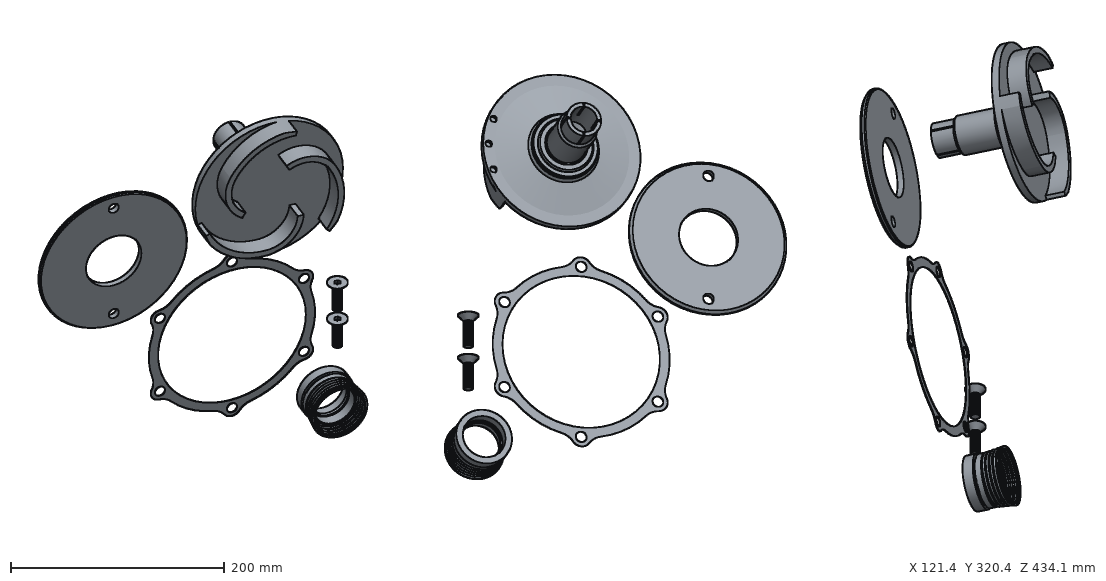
import cadquery as cq
import math


PLATE_Y, PLATE_Z = -119.05, -109.5
GASKET_Y, GASKET_Z = 2.6, -234.5
SEAL_Y, SEAL_Z = 96.6, -329.28
SCREW_X, SCREW_Y = -2.8, 112.8
SCREW_TOPS_Z = (-209.6, -252.3)

TIP_RADIUS = 16.67
TIP_LENGTH = 22.2
TIP_SHOULDER_LENGTH = 2.4
SHAFT_RADIUS = 38.1 / 2
TIP_BORE_RADIUS = 25.45 / 2
TIP_BORE_DEPTH = 40.0
DRILL_POINT_ANGLE = 118.0
SLOT_WIDTH = 1.6

COLLAR_X = 65.1
COLLAR_RADIUS = 41.27 / 2
PILOT_X = 66.3
PILOT_INNER_RADIUS = 50.8 / 2
PILOT_OUTER_RADIUS = 53.98 / 2
PILOT_CHAMFER = PILOT_OUTER_RADIUS - PILOT_INNER_RADIUS
BOSS_X = 68.9
BOSS_RADIUS = 32.1
BOSS_CHAMFER = 1.1
BOSS_FLARE_X = 72.8
CONE_START_X = 76.0
CONE_START_RADIUS = 34.4
CONE_END_RADIUS = 65.1

DISC_RADIUS = 76.2
DISC_FRONT_X = 82.4
DISC_THICKNESS = 7.5
DISC_BACK_X = DISC_FRONT_X + DISC_THICKNESS
IMPELLER_LENGTH = 108.67

BALANCE_HOLE_DIAMETER = 6.35
BALANCE_HOLE_DEPTH = 4.0
BALANCE_HOLE_CIRCLE_RADIUS = 70.9
BALANCE_HOLE_ANGLES = (-21.0, 0.0, 21.0)

VANE_COUNT = 3
VANE_THICKNESS = 6.35
VANE_TIP_ANGLE = 74.7
VANE_ARC_RADIUS = 71.0
VANE_ARC_Y, VANE_ARC_Z = 12.9, 5.1
VANE_ARC_START_ANGLE = 60.0
VANE_BLEND_ANGLE = 150.0
VANE_CURL_RADIUS = 38.0
VANE_CURL_END_ANGLE = 237.0

PLATE_RADIUS = 152.4 / 2
PLATE_THICKNESS = 6.35
PLATE_BORE_DIAMETER = 57.15
PLATE_FRONT_CHAMFER = 2.7
PLATE_BACK_CHAMFER = 1.2
PLATE_BOLT_CIRCLE_RADIUS = 61.9
BOLT_HOLE_DIAMETER = 10.32

GASKET_THICKNESS = 0.79
GASKET_INNER_RADIUS = 152.4 / 2
GASKET_OUTER_RADIUS = 171.45 / 2
GASKET_LUG_COUNT = 6
GASKET_LUG_RADIUS = 9.53
GASKET_LUG_BLEND_RADIUS = 19.05

SEAL_HEAD_RADIUS = 53.98 / 2
SEAL_HEAD_LENGTH = 10.2
SEAL_GROOVE_RADIUS = 47.31 / 2
SEAL_GROOVE_WIDTH = 2.0
SEAL_SLEEVE_RADIUS = 52.39 / 2
SEAL_SLEEVE_END = 18.2
SEAL_TAIL_RADIUS = 44.45 / 2
SEAL_TAIL_END = 26.0
SEAL_BORE_RADIUS = 41.27 / 2
SEAL_LIP_RADIUS = 38.1 / 2
SEAL_LIP_START = 11.0
SEAL_LIP_WIDTH = 3.5
SEAL_LENGTH = 38.1
SPRING_WIRE_DIAMETER = 2.2
SPRING_TURNS = 5
SPRING_END_RADIUS = 57.15 / 2
SPRING_END_THICKNESS = 1.3
SPRING_END_INSET = 1.2

SCREW_LENGTH = 31.75
SCREW_HEAD_RADIUS = 9.9
SCREW_HEAD_RIM = 0.6
SCREW_HEAD_HEIGHT = 5.7
THREAD_CREST_RADIUS = 9.53 / 2
THREAD_ROOT_RADIUS = 8.24 / 2
THREAD_PITCH = 25.4 / 16
SCREW_SOCKET_FLATS = 5.56
SCREW_SOCKET_DEPTH = 3.2


def revolve_about_x(points):
    """Turn a closed outline of (x, radius) points about the X axis."""
    return cq.Workplane("XY").polyline(points).close().revolve(360, (0, 0, 0), (1, 0, 0))


def disc_along_x(x_start, radius, length):
    """Cylinder on the X axis running in +X."""
    return cq.Workplane("YZ", origin=(x_start, 0, 0)).circle(radius).extrude(length)


def polar(radius, angle, center=(0.0, 0.0)):
    """Point at a radius and an angle in degrees round a center."""
    turn = math.radians(angle)
    return (center[0] + radius * math.cos(turn), center[1] + radius * math.sin(turn))


def impeller_core():
    """Shaft, stepped hub, conical front and disc, turned as one outline."""
    shaft_start_x = TIP_LENGTH + TIP_SHOULDER_LENGTH
    drill_point_length = TIP_BORE_RADIUS / math.tan(math.radians(DRILL_POINT_ANGLE / 2))
    return revolve_about_x([
        (0, TIP_BORE_RADIUS),
        (0, TIP_RADIUS),
        (TIP_LENGTH, TIP_RADIUS),
        (shaft_start_x, SHAFT_RADIUS),
        (COLLAR_X, SHAFT_RADIUS),
        (COLLAR_X, COLLAR_RADIUS),
        (PILOT_X, COLLAR_RADIUS),
        (PILOT_X, PILOT_INNER_RADIUS),
        (PILOT_X + PILOT_CHAMFER, PILOT_OUTER_RADIUS),
        (BOSS_X, PILOT_OUTER_RADIUS),
        (BOSS_X, BOSS_RADIUS - BOSS_CHAMFER),
        (BOSS_X + BOSS_CHAMFER, BOSS_RADIUS),
        (BOSS_FLARE_X, BOSS_RADIUS),
        (CONE_START_X, CONE_START_RADIUS),
        (DISC_FRONT_X, CONE_END_RADIUS),
        (DISC_FRONT_X, DISC_RADIUS),
        (DISC_BACK_X, DISC_RADIUS),
        (DISC_BACK_X, 0),
        (TIP_BORE_DEPTH + drill_point_length, 0),
        (TIP_BORE_DEPTH, TIP_BORE_RADIUS),
    ])


def tip_slots():
    """Two crossed cuts that split the hollow shaft tip into four."""
    slot = cq.Workplane("XY").box(
        TIP_LENGTH, 2 * SHAFT_RADIUS, SLOT_WIDTH, centered=(False, True, True)
    )
    return slot.union(slot.rotate((0, 0, 0), (1, 0, 0), 90))


def balance_holes():
    """Blind holes near the rim of the disc's front face."""
    centers = [polar(BALANCE_HOLE_CIRCLE_RADIUS, angle) for angle in BALANCE_HOLE_ANGLES]
    return (
        cq.Workplane("YZ", origin=(DISC_FRONT_X, 0, 0))
        .pushPoints(centers)
        .circle(BALANCE_HOLE_DIAMETER / 2)
        .extrude(BALANCE_HOLE_DEPTH)
    )


def vane():
    """Curved blade on the back of the disc, its tip flush with the disc's rim."""
    arc_center = (VANE_ARC_Y, VANE_ARC_Z)
    curl_center = polar(VANE_ARC_RADIUS - VANE_CURL_RADIUS, VANE_BLEND_ANGLE, arc_center)
    arc_middle_angle = (VANE_ARC_START_ANGLE + VANE_BLEND_ANGLE) / 2
    curl_middle_angle = (VANE_BLEND_ANGLE + VANE_CURL_END_ANGLE) / 2
    inner_arc_radius = VANE_ARC_RADIUS - VANE_THICKNESS
    inner_curl_radius = VANE_CURL_RADIUS - VANE_THICKNESS
    height = IMPELLER_LENGTH - DISC_BACK_X
    blade = (
        cq.Workplane("YZ", origin=(DISC_BACK_X, 0, 0))
        .moveTo(*polar(VANE_ARC_RADIUS, VANE_ARC_START_ANGLE, arc_center))
        .threePointArc(
            polar(VANE_ARC_RADIUS, arc_middle_angle, arc_center),
            polar(VANE_ARC_RADIUS, VANE_BLEND_ANGLE, arc_center),
        )
        .threePointArc(
            polar(VANE_CURL_RADIUS, curl_middle_angle, curl_center),
            polar(VANE_CURL_RADIUS, VANE_CURL_END_ANGLE, curl_center),
        )
        .lineTo(*polar(inner_curl_radius, VANE_CURL_END_ANGLE, curl_center))
        .threePointArc(
            polar(inner_curl_radius, curl_middle_angle, curl_center),
            polar(inner_arc_radius, VANE_BLEND_ANGLE, arc_center),
        )
        .threePointArc(
            polar(inner_arc_radius, arc_middle_angle, arc_center),
            polar(inner_arc_radius, VANE_ARC_START_ANGLE, arc_center),
        )
        .close()
        .extrude(height)
    )
    wedge_radius = 2 * DISC_RADIUS
    end_cut = (
        cq.Workplane("YZ", origin=(DISC_BACK_X, 0, 0))
        .polyline([(0, 0), polar(wedge_radius, 0), polar(wedge_radius, VANE_TIP_ANGLE)])
        .close()
        .extrude(height)
    )
    return blade.intersect(disc_along_x(DISC_BACK_X, DISC_RADIUS, height)).cut(end_cut)


def make_impeller():
    """Turned core with its slots, balance holes and evenly spaced vanes."""
    body = impeller_core().cut(tip_slots()).cut(balance_holes())
    for index in range(VANE_COUNT):
        turn = index * 360 / VANE_COUNT
        body = body.union(vane().rotate((0, 0, 0), (1, 0, 0), turn))
    return body


def make_plate():
    """Round cover plate with a bore and two bolt holes."""
    bolt_centers = [(0, PLATE_BOLT_CIRCLE_RADIUS), (0, -PLATE_BOLT_CIRCLE_RADIUS)]
    plate = (
        disc_along_x(-PLATE_THICKNESS, PLATE_RADIUS, PLATE_THICKNESS)
        .faces("<X").edges().chamfer(PLATE_FRONT_CHAMFER)
        .faces(">X").edges().chamfer(PLATE_BACK_CHAMFER)
    )
    holes = (
        cq.Workplane("YZ", origin=(-PLATE_THICKNESS, 0, 0))
        .circle(PLATE_BORE_DIAMETER / 2)
        .pushPoints(bolt_centers)
        .circle(BOLT_HOLE_DIAMETER / 2)
        .extrude(PLATE_THICKNESS)
    )
    return plate.cut(holes).translate((0, PLATE_Y, PLATE_Z))


def make_gasket():
    """Thin ring with evenly spaced bolt lugs blended into its outer edge."""
    lug_centers = [
        polar(GASKET_OUTER_RADIUS, 90 + index * 360 / GASKET_LUG_COUNT)
        for index in range(GASKET_LUG_COUNT)
    ]
    lugs = (
        cq.Workplane("YZ").pushPoints(lug_centers)
        .circle(GASKET_LUG_RADIUS).extrude(GASKET_THICKNESS)
    )
    holes = (
        cq.Workplane("YZ")
        .circle(GASKET_INNER_RADIUS)
        .pushPoints(lug_centers)
        .circle(BOLT_HOLE_DIAMETER / 2)
        .extrude(GASKET_THICKNESS)
    )
    outline = disc_along_x(0, GASKET_OUTER_RADIUS, GASKET_THICKNESS).union(lugs)
    outline = outline.edges("|X").fillet(GASKET_LUG_BLEND_RADIUS)
    return outline.cut(holes).translate((0, GASKET_Y, GASKET_Z))


def seal_body():
    """Grooved sleeve with an inner lip and a thin tail, turned as one outline."""
    groove_end = SEAL_HEAD_LENGTH + SEAL_GROOVE_WIDTH
    lip_end = SEAL_LIP_START + SEAL_LIP_WIDTH
    return revolve_about_x([
        (0, SEAL_BORE_RADIUS),
        (0, SEAL_HEAD_RADIUS),
        (SEAL_HEAD_LENGTH, SEAL_HEAD_RADIUS),
        (SEAL_HEAD_LENGTH, SEAL_GROOVE_RADIUS),
        (groove_end, SEAL_GROOVE_RADIUS),
        (groove_end, SEAL_SLEEVE_RADIUS),
        (SEAL_SLEEVE_END, SEAL_SLEEVE_RADIUS),
        (SEAL_SLEEVE_END, SEAL_TAIL_RADIUS),
        (SEAL_TAIL_END, SEAL_TAIL_RADIUS),
        (SEAL_TAIL_END, SEAL_BORE_RADIUS),
        (lip_end, SEAL_BORE_RADIUS),
        (lip_end, SEAL_LIP_RADIUS),
        (SEAL_LIP_START, SEAL_LIP_RADIUS),
        (SEAL_LIP_START, SEAL_BORE_RADIUS),
    ])


def seal_spring():
    """Flaring coil from the sleeve to its flat end turn."""
    start_x = SEAL_SLEEVE_END - SPRING_WIRE_DIAMETER / 4
    wire_radius = SPRING_WIRE_DIAMETER / 2
    rise = SEAL_LENGTH - SPRING_END_INSET - start_x
    start_radius = SEAL_SLEEVE_RADIUS - wire_radius
    end_radius = SPRING_END_RADIUS - SPRING_END_INSET
    flare_angle = math.degrees(math.atan2(end_radius - start_radius, rise))
    path = cq.Wire.makeHelix(rise / SPRING_TURNS, rise, start_radius, angle=flare_angle)
    coil = (
        cq.Workplane("XZ", origin=(start_radius, 0, 0))
        .circle(wire_radius)
        .sweep(cq.Workplane(path), isFrenet=True)
    )
    coil = coil.rotate((0, 0, 0), (0, 1, 0), 90).translate((start_x, 0, 0))
    end_x = SEAL_LENGTH - SPRING_END_THICKNESS
    end_turn = disc_along_x(end_x, SPRING_END_RADIUS, SPRING_END_THICKNESS).cut(
        disc_along_x(end_x, SPRING_END_RADIUS - SPRING_WIRE_DIAMETER, SPRING_END_THICKNESS)
    )
    return coil.union(end_turn)


def make_seal():
    """Sleeve and spring joined as one body."""
    return seal_body().union(seal_spring()).translate((0, SEAL_Y, SEAL_Z))


def make_screw(top_z):
    """Flat-head socket screw, head up, with ring-shaped thread grooves."""
    thread_length = SCREW_LENGTH - SCREW_HEAD_HEIGHT
    thread_count = int(thread_length / THREAD_PITCH)
    outline = [
        (0, 0),
        (SCREW_HEAD_RADIUS, 0),
        (SCREW_HEAD_RADIUS, -SCREW_HEAD_RIM),
        (THREAD_CREST_RADIUS, -SCREW_HEAD_HEIGHT),
    ]
    for index in range(thread_count):
        crest_z = -SCREW_HEAD_HEIGHT - index * THREAD_PITCH
        outline.append((THREAD_ROOT_RADIUS, crest_z - THREAD_PITCH / 2))
        outline.append((THREAD_CREST_RADIUS, crest_z - THREAD_PITCH))
    outline.append((THREAD_ROOT_RADIUS, -SCREW_LENGTH))
    outline.append((0, -SCREW_LENGTH))
    socket = (
        cq.Workplane("XY")
        .polygon(6, SCREW_SOCKET_FLATS, circumscribed=True)
        .extrude(-SCREW_SOCKET_DEPTH)
    )
    body = cq.Workplane("XZ").polyline(outline).close().revolve(360, (0, 0, 0), (0, 1, 0))
    return body.cut(socket).translate((SCREW_X, SCREW_Y, top_z))


impeller = make_impeller()
plate = make_plate()
gasket = make_gasket()
seal = make_seal()
screws = [make_screw(top_z) for top_z in SCREW_TOPS_Z]

result = cq.Compound.makeCompound([
    impeller.val(),
    plate.val(),
    gasket.val(),
    seal.val(),
    *[screw.val() for screw in screws],
])